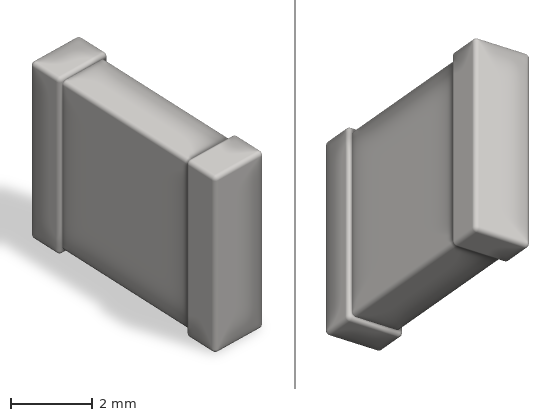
import cadquery as cq

length = 6.65
depth = 1.65
height = 5.4

cap_length = 1.05
block_step = 0.11
edge_radius = block_step


def make_ceramic_block():
    """Block between the caps, with its four long edges rounded."""
    block = cq.Workplane("XY").box(
        length - 2 * cap_length,
        depth - 2 * block_step,
        height - 2 * block_step,
    )
    return block.edges("|X").fillet(edge_radius)


def make_end_cap(side):
    """Solid cap rounded on every edge, at the -X (side = -1) or +X (side = 1) end."""
    center_x = side * (length - cap_length) / 2
    cap = cq.Workplane("XY").box(cap_length, depth, height).edges().fillet(edge_radius)
    return cap.translate((center_x, 0, 0))


ceramic_block = make_ceramic_block()
end_caps = [make_end_cap(side) for side in (-1, 1)]

result = cq.Compound.makeCompound([ceramic_block.val(), *[cap.val() for cap in end_caps]])